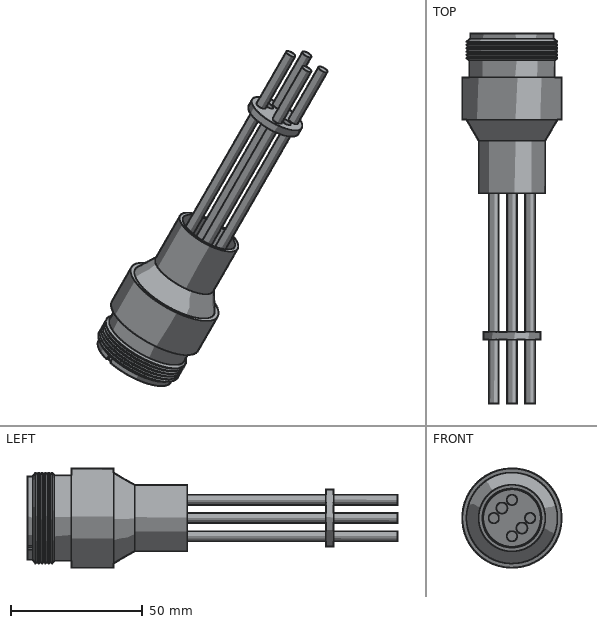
import cadquery as cq

length = 140.9
face_y = length / 2
tip_y = -length / 2

rim_radius = 15.9
neck_radius = 16.3
collar_diameter = 37.9
collar_radius = collar_diameter / 2
cone_radius = 17.3
tube_radius = 12.7
rim_length = 2.0
collar_start = 16.8
collar_end = 32.8
cone_end = 40.9
tube_end = 60.9

crest_radius = 17.3
root_radius = 16.8
ridge_count = 6
ridge_pitch = 1.3
first_crest = 3.1
thread_end = 10.3

keyway_width = 2.1
keyway_depth = 1.1
keyway_angle = -45

bore_radius = 11.3
bore_depth = tube_end - cone_end

pin_diameter = 4.0
pin_offset = 6.9
pin_embedment = 1.4

disc_diameter = 21.8
disc_thickness = 3.0
disc_to_tip = 24.4
hole_diameter = 4.2
hole_offset = 3.8


def section_at(y):
    """Sketch plane across the axis at y; local x is X, local y is Z and the normal is -Y."""
    return cq.Workplane("XZ", origin=(0, y, 0))


def extrude_forward(sketch, distance):
    """Extrude an XZ sketch toward +Y."""
    return sketch.extrude(-distance)


def thread_points():
    """Crests and roots of the thread as (radius, distance behind the face)."""
    points = []
    for index in range(ridge_count):
        crest = first_crest + index * ridge_pitch
        points.append((crest_radius, crest))
        if index < ridge_count - 1:
            points.append((root_radius, crest + ridge_pitch / 2))
    return points


def make_body():
    profile = [
        (0, 0),
        (rim_radius, 0),
        (rim_radius, rim_length),
        *thread_points(),
        (neck_radius, thread_end),
        (neck_radius, collar_start),
        (collar_radius, collar_start),
        (collar_radius, collar_end),
        (cone_radius, collar_end),
        (tube_radius, cone_end),
        (tube_radius, tube_end),
        (0, tube_end),
    ]
    outline = [(radius, face_y - distance) for radius, distance in profile]
    body = cq.Workplane("XY").polyline(outline).close().revolve(360, (0, 0), (0, 1))
    bore = extrude_forward(section_at(face_y - tube_end).circle(bore_radius), bore_depth)
    return body.cut(bore)


def make_keyway():
    slot = cq.Workplane("XY").box(2 * keyway_depth, rim_length, keyway_width)
    slot = slot.translate((-rim_radius, face_y - rim_length / 2, 0))
    return slot.rotate((0, 0, 0), (0, 1, 0), keyway_angle)


def make_pins():
    centers = [(pin_offset, 0), (-pin_offset, 0), (0, pin_offset), (0, -pin_offset)]
    pin_length = length - cone_end + pin_embedment
    return extrude_forward(section_at(tip_y).pushPoints(centers).circle(pin_diameter / 2), pin_length)


def make_disc():
    base = section_at(tip_y + disc_to_tip)
    disc = extrude_forward(base.circle(disc_diameter / 2), disc_thickness)
    hole_centers = [(-hole_offset, hole_offset), (hole_offset, -hole_offset)]
    holes = extrude_forward(base.pushPoints(hole_centers).circle(hole_diameter / 2), disc_thickness)
    return disc.cut(holes)


body = make_body().cut(make_keyway())
result = body.union(make_disc()).union(make_pins())